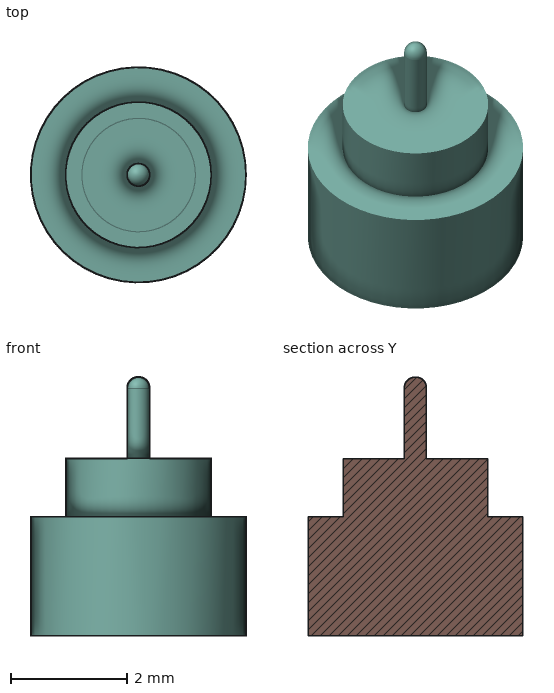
import cadquery as cq
import math

BASE_DIAMETER = 3.7
BASE_HEIGHT = 2.05
COLLAR_DIAMETER = 2.5
COLLAR_HEIGHT = 1.0
INSULATOR_DIAMETER = 1.95
PIN_DIAMETER = 0.39
PIN_PROJECTION = 1.4

COLLAR_TOP = BASE_HEIGHT + COLLAR_HEIGHT
PIN_RADIUS = PIN_DIAMETER / 2
PIN_TIP = COLLAR_TOP + PIN_PROJECTION
DOME_START = PIN_TIP - PIN_RADIUS


def cylinder(diameter, bottom, top):
    """Upright cylinder on the Z axis between two heights."""
    return cq.Workplane("XY").workplane(offset=bottom).circle(diameter / 2).extrude(top - bottom)


def make_shell():
    """Stepped metal body, bored through the collar for the insulator."""
    base = cylinder(BASE_DIAMETER, 0, BASE_HEIGHT)
    collar = cylinder(COLLAR_DIAMETER, BASE_HEIGHT, COLLAR_TOP)
    bore = cylinder(INSULATOR_DIAMETER, BASE_HEIGHT, COLLAR_TOP)
    return base.union(collar).cut(bore)


def make_insulator():
    """Disc filling the collar bore, flush with the collar top."""
    return cylinder(INSULATOR_DIAMETER, BASE_HEIGHT, COLLAR_TOP)


def make_pin():
    """Round pin with a hemispherical tip, revolved about the Z axis."""
    dome_mid = PIN_RADIUS * math.cos(math.radians(45))
    return (
        cq.Workplane("XZ")
        .moveTo(0, COLLAR_TOP)
        .lineTo(PIN_RADIUS, COLLAR_TOP)
        .lineTo(PIN_RADIUS, DOME_START)
        .threePointArc((dome_mid, DOME_START + dome_mid), (0, PIN_TIP))
        .close()
        .revolve(360, (0, 0, 0), (0, 1, 0))
    )


result = make_shell().union(make_insulator(), clean=False).union(make_pin(), clean=False)